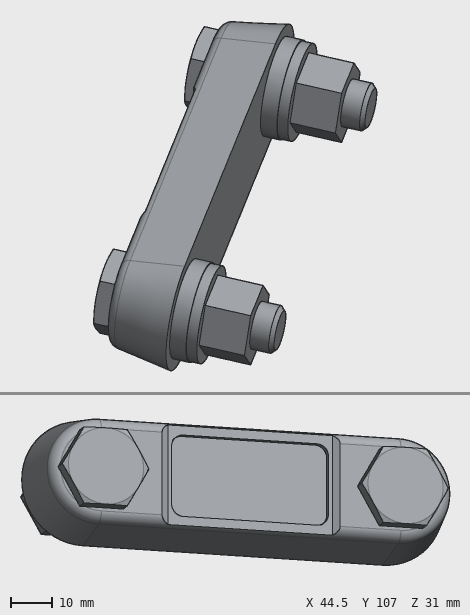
import cadquery as cq
import math

length = 107.0
width = 31.0
bolt_y = (length - width) / 2
draft_angle = 10.0
edge_radius = 2.8

head_front = 0.0
body_front = 4.1
body_back = 20.2
collar_back = 24.4
washer_back = 27.1
nut_back = 38.6
stud_tip = 44.5

collar_diameter = 25.0
washer_diameter = 24.5
stud_diameter = 12.0
stud_chamfer = 1.1
head_flats = 19.0
head_corner_drop = 0.4
nut_flats = 18.0

recess_depth = 1.0
recess_floor_half_length = 20.9
recess_slope_length = 1.7
window_length = 39.8
window_height = 20.3
window_radius = 3.0
window_depth = 1.6


def along_x(start):
    """Workplane facing +X at the given station."""
    return cq.Workplane("YZ").workplane(offset=start)


def cylinder(start, end, diameter, y):
    return along_x(start).center(y, 0).circle(diameter / 2).extrude(end - start)


def hex_corners(flats):
    """Corner-to-corner size of a hexagon from its size across flats."""
    return flats / math.cos(math.pi / 6)


def hex_prism(start, end, flats, y):
    return along_x(start).center(y, 0).polygon(6, hex_corners(flats)).extrude(end - start)


def body_profile():
    """Half section of the body in X and Z: drafted side and rounded front edge."""
    draft = math.radians(draft_angle)
    back_half = width / 2
    front_half = back_half - (body_back - body_front) * math.tan(draft)
    flat_half = front_half - edge_radius * math.tan((math.pi / 2 - draft) / 2)
    arc_x = body_front + edge_radius

    def arc_point(angle):
        return (arc_x - edge_radius * math.sin(angle), flat_half + edge_radius * math.cos(angle))

    middle_angle = (math.pi / 2 + draft) / 2
    return (
        cq.Workplane("XZ", origin=(0, bolt_y, 0))
        .moveTo(body_front, 0)
        .lineTo(body_front, flat_half)
        .threePointArc(arc_point(middle_angle), arc_point(draft))
        .lineTo(body_back, back_half)
        .lineTo(body_back, 0)
        .close()
    )


def make_body():
    upper = body_profile().extrude(2 * bolt_y)
    body = upper.union(upper.mirror("XY"))
    round_end = body_profile().revolve(360, (0, 0, 0), (1, 0, 0))
    return body.union(round_end).union(round_end.mirror("XZ"))


def make_recess():
    rim_half_length = recess_floor_half_length + recess_slope_length
    floor = body_front + recess_depth
    return (
        cq.Workplane("XY", origin=(0, 0, -width / 2))
        .polyline(
            [
                (body_front, -rim_half_length),
                (floor, -recess_floor_half_length),
                (floor, recess_floor_half_length),
                (body_front, rim_half_length),
            ]
        )
        .close()
        .extrude(width)
    )


def make_window():
    return (
        along_x(body_front + recess_depth)
        .rect(window_length, window_height)
        .extrude(window_depth)
        .edges("|X")
        .fillet(window_radius)
    )


def make_head(y):
    """Hexagon head whose corners are beveled down to the inscribed circle."""
    flat_radius = head_flats / 2
    corner_radius = hex_corners(head_flats) / 2
    bevel = (
        cq.Workplane("XY", origin=(0, y, 0))
        .polyline(
            [
                (head_front, 0),
                (head_front, flat_radius),
                (head_front + head_corner_drop, corner_radius),
                (body_front, corner_radius),
                (body_front, 0),
            ]
        )
        .close()
        .revolve(360, (0, 0, 0), (1, 0, 0))
    )
    return hex_prism(head_front, body_front, head_flats, y).intersect(bevel)


def make_bolt(y):
    collar = cylinder(body_back, collar_back, collar_diameter, y)
    washer = cylinder(collar_back, washer_back, washer_diameter, y)
    nut = hex_prism(washer_back, nut_back, nut_flats, y)
    stud = cylinder(nut_back, stud_tip, stud_diameter, y).faces(">X").chamfer(stud_chamfer)
    return make_head(y).union(collar).union(washer).union(nut).union(stud)


result = make_body().cut(make_recess()).cut(make_window())
for y in (-bolt_y, bolt_y):
    result = result.union(make_bolt(y))